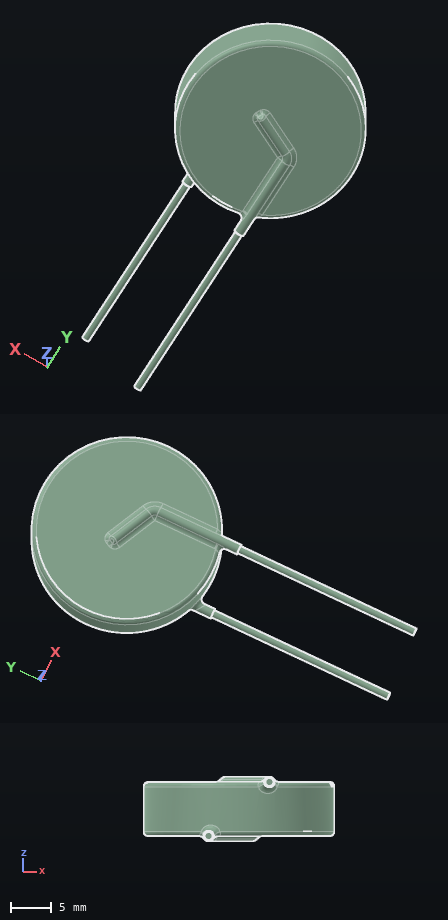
import cadquery as cq
import math

disc_diameter = 23.5
disc_thickness = 6.7
rim_radius = 0.6

overall_height = 8.0
overall_length = 49.25
lead_diameter = 1.0
lead_offset = 3.75
sleeve_diameter = 1.35
sleeve_end = -13.55
blend_radius = 0.75

bend_y = -2.55
bend_radius = 1.2
run_slope = 26.5
run_length = 5.45
tip_rounding = 0.35

contact_tolerance = 0.0005

sleeve_radius = sleeve_diameter / 2
lead_z = overall_height / 2 - sleeve_radius
lead_end = disc_diameter / 2 - overall_length


def half_turn(shape):
    """Copy of a top-side shape turned about the Y axis to the bottom side."""
    return shape.rotate((0, 0, 0), (0, 1, 0), 180)


def make_disc():
    disc = (
        cq.Workplane("XY", origin=(0, 0, -disc_thickness / 2))
        .circle(disc_diameter / 2)
        .extrude(disc_thickness)
    )
    return disc.edges("%CIRCLE").fillet(rim_radius)


def make_sleeve():
    """Round sleeve along the bent lead, its inner end sloping at 45 degrees down to the disc."""
    slope = math.radians(run_slope)
    turn = math.pi / 2 - slope
    centre_x = lead_offset - bend_radius

    def on_bend(angle):
        return centre_x + bend_radius * math.cos(angle), bend_y + bend_radius * math.sin(angle)

    bend_end = on_bend(turn)
    tip_length = run_length + sleeve_diameter
    tip = (bend_end[0] - tip_length * math.cos(slope), bend_end[1] + tip_length * math.sin(slope))
    path = (
        cq.Workplane("XY", origin=(0, 0, lead_z))
        .moveTo(lead_offset, sleeve_end)
        .lineTo(lead_offset, bend_y)
        .threePointArc(on_bend(turn / 2), bend_end)
        .lineTo(*tip)
    )
    sleeve = (
        cq.Workplane("XZ", origin=(lead_offset, sleeve_end, lead_z))
        .circle(sleeve_radius)
        .sweep(path)
    )
    run_plane = cq.Plane(
        origin=(tip[0], tip[1], lead_z - sleeve_radius),
        xDir=(math.cos(slope), -math.sin(slope), 0),
        normal=(-math.sin(slope), -math.cos(slope), 0),
    )
    wedge = (
        cq.Workplane(run_plane)
        .polyline([(0, 0), (sleeve_diameter, sleeve_diameter), (0, sleeve_diameter)])
        .close()
        .extrude(sleeve_diameter, both=True)
    )
    return sleeve.cut(wedge)


def edges_across(body, base):
    """Edges of body that run over the skin of base without following an edge of base."""
    base_skin = base.shells().val()
    base_edges = cq.Compound.makeCompound(base.edges().vals())

    def crosses_skin(edge):
        middle = cq.Vertex.makeVertex(*edge.positionAt(0.5).toTuple())
        on_skin = base_skin.distance(middle) < contact_tolerance
        return on_skin and base_edges.distance(middle) > contact_tolerance

    return [edge for edge in body.edges().vals() if crosses_skin(edge)]


def make_coating():
    """Disc with a sleeve on each face, each blended into the disc along its whole seam."""
    disc = make_disc()
    upper_sleeve = make_sleeve()
    coating = disc.union(upper_sleeve).union(half_turn(upper_sleeve))
    coating = coating.edges("%ELLIPSE").fillet(tip_rounding)
    seams = edges_across(coating, disc)
    return coating.newObject(seams).fillet(blend_radius)


def make_lead():
    return (
        cq.Workplane("XZ", origin=(lead_offset, sleeve_end, lead_z))
        .circle(lead_diameter / 2)
        .extrude(sleeve_end - lead_end)
    )


coating = make_coating()
upper_lead = make_lead()
leads = [upper_lead, half_turn(upper_lead)]

result = cq.Compound.makeCompound([coating.val(), *[lead.val() for lead in leads]])